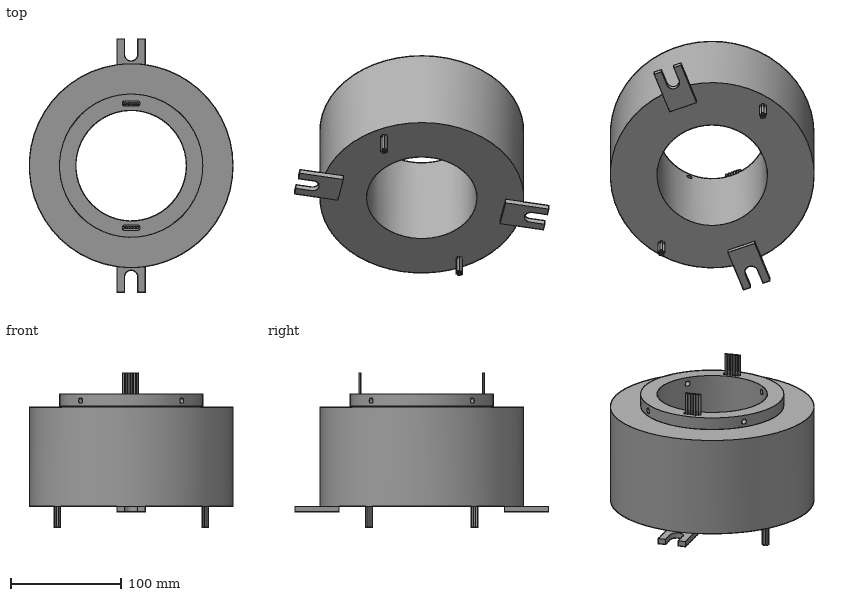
import cadquery as cq
import math


drum_diameter = 185.0
drum_height = 90.0
bore_diameter = 100.0
collar_diameter = 130.0
collar_rise = 12.0
gap_height = 1.0
gap_depth = 2.0

screw_hole_diameter = 4.8
screw_hole_count = 4

overall_length = 230
tab_width = 26.0
tab_length = 40.0
tab_thickness = 5.0
tab_slot_width = 12.0
tab_slot_depth = 20.0

wire_diameter = 2.0
wire_length = 19.0

exit_slot_length = 16.0
exit_slot_width = 4.8
exit_slot_depth = 5.0
exit_slot_offset = 56.4
upper_wire_count = 6
upper_wire_pitch = 2.5
upper_wire_shift = -0.7
upper_wire_offset = 56.1

bundle_x = 67.2
bundle_y = 47.8
bundle_pitch_radius = 2.18
bundle_outer_count = 5

wire_embed = 1.2

collar_top = drum_height + collar_rise
drum_radius = drum_diameter / 2
collar_radius = collar_diameter / 2
bore_radius = bore_diameter / 2


def make_housing():
    """Drum and collar revolved as one profile, with a narrow gap under the collar."""
    neck_radius = collar_radius - gap_depth
    gap_top = drum_height + gap_height
    profile = [
        (bore_radius, 0),
        (drum_radius, 0),
        (drum_radius, drum_height),
        (neck_radius, drum_height),
        (neck_radius, gap_top),
        (collar_radius, gap_top),
        (collar_radius, collar_top),
        (bore_radius, collar_top),
    ]
    return cq.Workplane("XZ").polyline(profile).close().revolve(360, (0, 0), (0, 1))


def make_screw_holes():
    """Radial holes spaced evenly around the collar, starting midway between X and Y."""
    hole_z = drum_height + collar_rise / 2
    spacing = 360 / screw_hole_count
    hole = cq.Workplane("YZ").center(0, hole_z).circle(screw_hole_diameter / 2).extrude(drum_radius)
    holes = cq.Workplane()
    for index in range(screw_hole_count):
        holes = holes.add(hole.rotate((0, 0, 0), (0, 0, 1), spacing * (index + 0.5)))
    return holes.combine()


def make_exit_slots():
    """Rounded pockets in the collar top where the upper wires come out."""
    return (
        cq.Workplane("XY", origin=(0, 0, collar_top - exit_slot_depth))
        .pushPoints([(0, exit_slot_offset), (0, -exit_slot_offset)])
        .slot2D(exit_slot_length, exit_slot_width)
        .extrude(exit_slot_depth)
    )


def make_tab(side):
    """Mounting tab with a round-ended open slot; side is +1 or -1 along Y."""
    tip_y = overall_length / 2
    tab = (
        cq.Workplane("XY", origin=(0, 0, -tab_thickness))
        .center(0, tip_y - tab_length / 2)
        .rect(tab_width, tab_length)
        .extrude(tab_thickness)
    )
    slot = (
        cq.Workplane("XY", origin=(0, tip_y, -tab_thickness))
        .slot2D(2 * tab_slot_depth, tab_slot_width, 90)
        .extrude(tab_thickness)
    )
    tab = tab.cut(slot)
    return tab if side > 0 else tab.mirror("XZ")


def make_upper_wires():
    """A straight row of wires standing on the floor of each exit slot."""
    row_start = upper_wire_shift - upper_wire_pitch * (upper_wire_count - 1) / 2
    centres = [
        (row_start + index * upper_wire_pitch, side * upper_wire_offset)
        for side in (1, -1)
        for index in range(upper_wire_count)
    ]
    base_z = collar_top - exit_slot_depth - wire_embed
    return (
        cq.Workplane("XY", origin=(0, 0, base_z))
        .pushPoints(centres)
        .circle(wire_diameter / 2)
        .extrude(collar_top + wire_length - base_z)
    )


def make_lower_wires():
    """Two round bundles, each one wire with a ring of wires around it."""
    centres = []
    for side in (1, -1):
        centre_x = -side * bundle_x
        centre_y = side * bundle_y
        centres.append((centre_x, centre_y))
        for index in range(bundle_outer_count):
            angle = 2 * math.pi * index / bundle_outer_count
            centres.append((
                centre_x + bundle_pitch_radius * math.cos(angle),
                centre_y + bundle_pitch_radius * math.sin(angle),
            ))
    return (
        cq.Workplane("XY", origin=(0, 0, -wire_length))
        .pushPoints(centres)
        .circle(wire_diameter / 2)
        .extrude(wire_length + wire_embed)
    )


result = make_housing().cut(make_screw_holes()).cut(make_exit_slots())
for tab_side in (1, -1):
    result = result.union(make_tab(tab_side))
result = result.union(make_upper_wires()).union(make_lower_wires())